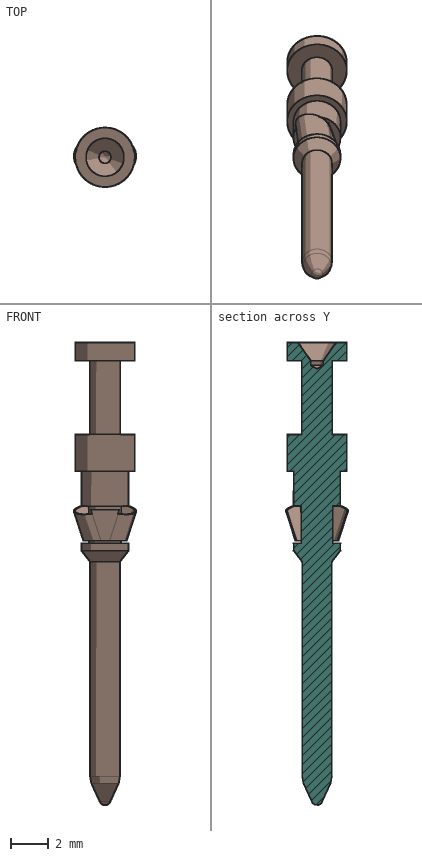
import cadquery as cq
import math

length = 24.9

head_radius = 3.2 / 2
stem_radius = 0.82
shoulder_radius = 1.27
neck_radius = 0.87
pin_radius = 1.62 / 2
taper_radius = 0.75
nose_radius = 0.3

nose_height = 0.22
taper_top = 1.2
pin_bottom = 1.57
collar_cone_bottom = 13.1
collar_cone_top = 13.7
collar_top = 14.1
shoulder_bottom = 16.09
flange_bottom = 17.95
flange_top = 19.95
head_bottom = 23.9

mouth_radius = 1.02
mouth_depth = 1.0
hole_radius = 0.32
hole_depth = 1.25
hole_point_depth = hole_radius / 2

wing_radius = 0.9
wing_wall = 0.07
wing_shift_y = -0.02
wing_lean = 18.0
wing_bottom = 14.22
wing_tip = 15.79
wing_axis_offset = 0.22
pad_top = 15.89
end_slope_x = 0.17
end_slope_y = 0.31


def make_body():
    """Revolved outline of all turned surfaces, with a domed nose."""
    dome_radius = (nose_radius**2 + nose_height**2) / (2 * nose_height)
    half_angle = math.asin(nose_radius / dome_radius) / 2
    dome_x = dome_radius * math.sin(half_angle)
    dome_z = dome_radius * (1 - math.cos(half_angle))
    return (
        cq.Workplane("XZ")
        .moveTo(0, 0)
        .threePointArc((dome_x, dome_z), (nose_radius, nose_height))
        .lineTo(taper_radius, taper_top)
        .lineTo(pin_radius, pin_bottom)
        .lineTo(pin_radius, collar_cone_bottom)
        .lineTo(shoulder_radius, collar_cone_top)
        .lineTo(shoulder_radius, collar_top)
        .lineTo(neck_radius, collar_top)
        .lineTo(neck_radius, shoulder_bottom)
        .lineTo(shoulder_radius, shoulder_bottom)
        .lineTo(shoulder_radius, flange_bottom)
        .lineTo(head_radius, flange_bottom)
        .lineTo(head_radius, flange_top)
        .lineTo(stem_radius, flange_top)
        .lineTo(stem_radius, head_bottom)
        .lineTo(head_radius, head_bottom)
        .lineTo(head_radius, length)
        .lineTo(0, length)
        .close()
        .revolve(360, (0, 0), (0, 1))
    )


def make_mouth():
    """Cutter for the conical mouth and the hole below it."""
    return (
        cq.Workplane("XZ")
        .moveTo(0, length)
        .lineTo(mouth_radius, length)
        .lineTo(hole_radius, length - mouth_depth)
        .lineTo(hole_radius, length - hole_depth)
        .lineTo(0, length - hole_depth - hole_point_depth)
        .close()
        .revolve(360, (0, 0), (0, 1))
    )


def axis_offset(height):
    """Distance of a wing axis from X = 0 at the given height."""
    return wing_axis_offset + (height - wing_bottom) * math.tan(math.radians(wing_lean))


def make_wing(side):
    """Leaning tube on side -1 or +1, level below and cut obliquely above."""
    lean = math.radians(wing_lean)
    axis = cq.Vector(side * math.sin(lean), 0, math.cos(lean))
    base = cq.Vector(side * wing_axis_offset, wing_shift_y, wing_bottom)
    reach = 2 * (wing_tip - wing_bottom)
    start = base - axis * reach
    outside = cq.Solid.makeCylinder(wing_radius, 2 * reach, start, axis)
    inside = cq.Solid.makeCylinder(wing_radius - wing_wall, 2 * reach, start, axis)

    tip_x = axis_offset(wing_tip) + wing_radius / math.cos(lean)
    end_plane = cq.Plane(
        origin=(side * tip_x, wing_shift_y, wing_tip),
        xDir=(1, 0, -side * end_slope_x),
        normal=(side * end_slope_x, -end_slope_y, 1),
    )
    cutter_width = 8 * wing_radius
    above = cq.Workplane(end_plane).rect(cutter_width, cutter_width).extrude(reach * 2)
    below = (
        cq.Workplane("XY", origin=(0, 0, wing_bottom))
        .rect(cutter_width, cutter_width)
        .extrude(-reach * 2)
    )
    return cq.Workplane(outside).cut(inside).cut(above).cut(below)


def make_pad():
    """Flat wedge between the wing axes, tangent to both wings on the -Y side."""
    low = axis_offset(wing_bottom)
    high = axis_offset(pad_top)
    return (
        cq.Workplane("XZ")
        .polyline([(-low, wing_bottom), (low, wing_bottom), (high, pad_top), (-high, pad_top)])
        .close()
        .extrude(wing_radius - wing_shift_y)
    )


result = make_body().cut(make_mouth()).union(make_pad())
for side in (-1, 1):
    result = result.union(make_wing(side))